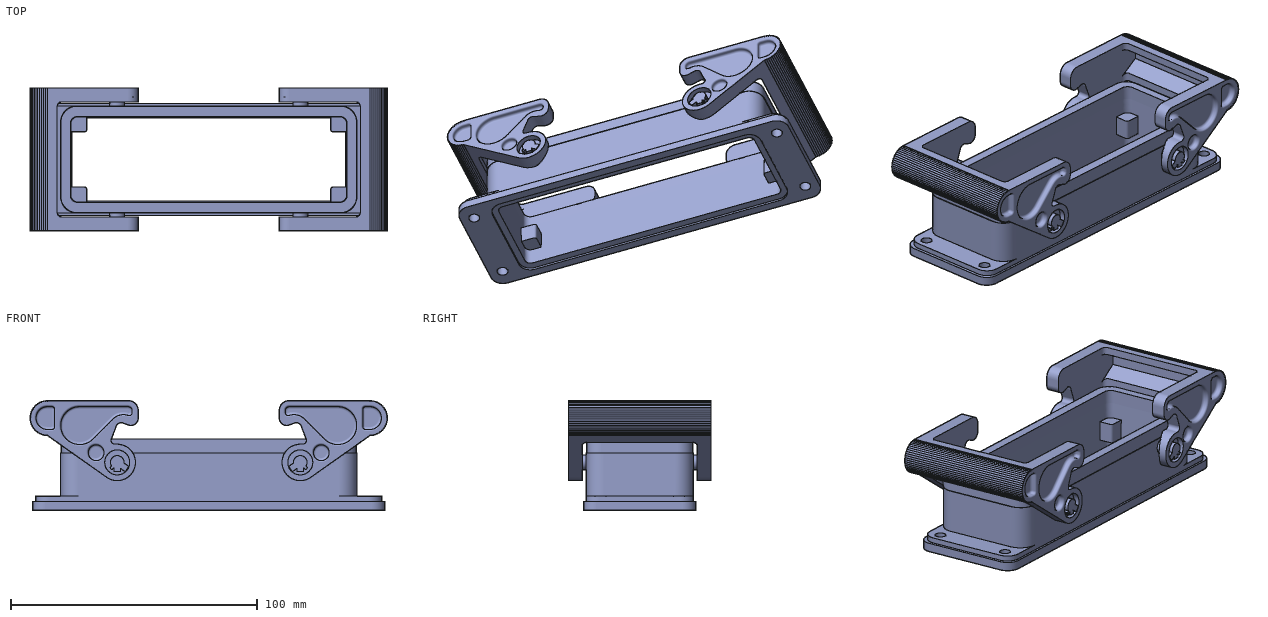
import cadquery as cq
import math

flange_length, flange_width = 143.0, 45.5
flange_height, flange_corner = 3.6, 5.2
step_length = 140.5
step_top = 5.8
body_length, body_width, body_corner = 120.5, 43.5, 7.1
body_top = 23.4
collar_length, collar_width, collar_corner = 119.9, 43.1, 6.0
housing_height = 29.0

cavity_length, cavity_width, cavity_corner = 112.3, 34.8, 2.9
cavity_draft = 0.6

underside_recess_margin = 2.2
underside_recess_depth = 1.0

pad_reach_x, pad_reach_y = 6.7, 6.2
pad_bottom, pad_top = 9.1, 17.1
pad_corner = 1.0

screw_hole_diameter = 4.4
screw_pitch_x, screw_pitch_y = 131.8, 31.9

latch_end, latch_width, latch_top = -72.5, 58.0, 44.5
bar_radius = 7.1
bar_x = latch_end + bar_radius
bar_z = latch_top - bar_radius
bar_inner_x = -61.5
arm_gap = 46.6
arm_gap_corner = 1.9

pivot_x, pivot_z = -37.1, 19.5
pivot_radius = 7.4
hook_end, hook_corner = -28.6, 4.0
hook_radius = 3.0
hook_x, hook_z = hook_end - hook_radius, 37.5
hook_tip_angle = -100

notch_roof_start, notch_roof_middle, notch_roof_end = (-34.5, 35.3), (-36.5, 35.3), (-37.7, 33.5)
notch_throat_start, notch_throat_middle = (-39.5, 29.0), (-39.3, 27.4)
notch_throat_end = (-38.0, pivot_z + pivot_radius)

rib_count = 25
rib_height = 0.22

recess_depth_x = 6.0
recess_bottom, recess_ceiling = 31.0, 41.5

pocket_depth = 2.5
pocket_rim_fillet = 0.7
pocket_floor_fillet = 1.0
grip_pocket_radius = 4.6
grip_pocket_right = -62.5
grip_pocket_corner = 1.2
bowl_x, bowl_z, bowl_radius = -52.4, 34.4, 7.7
shoulder_x, shoulder_radius = -34.5, 6.1
toe_x = -31.0
toe_corner = 1.7
toe_tip_inset = 0.6
shoulder_end_angle = 75
round_pocket_x, round_pocket_z, round_pocket_radius = -45.7, 23.4, 3.2

ramp_start_x = -35.7
ramp_depth = 2.5

pivot_recess_radius = 5.1
pin_radius, pin_embed = 3.0, 1.5
rivet_radius = 2.8
rivet_stem_width, rivet_stem_reach = 2.5, 3.8
rivet_tabs = [(2.6, 4.8, -34), (1.2, 3.6, 225)]


def rounded_block(length, width, bottom, top, corner):
    block = cq.Workplane("XY").workplane(offset=bottom).rect(length, width).extrude(top - bottom)
    return block.edges("|Z").fillet(corner)


def polar(x, z, radius, degrees):
    angle = math.radians(degrees)
    return (x + radius * math.cos(angle), z + radius * math.sin(angle))


def build_housing():
    housing = rounded_block(flange_length, flange_width, 0, flange_height, flange_corner)
    housing = housing.union(rounded_block(step_length, body_width, flange_height, step_top, flange_corner))
    housing = housing.union(rounded_block(body_length, body_width, step_top, body_top, body_corner))
    housing = housing.union(
        rounded_block(collar_length, collar_width, body_top, housing_height, collar_corner)
    )

    housing = housing.cut(
        rounded_block(cavity_length, cavity_width, body_top, housing_height, cavity_corner)
    )
    draft_angle = math.degrees(math.atan(cavity_draft / body_top))
    cavity = (
        cq.Workplane("XY", origin=(0, 0, body_top))
        .sketch().rect(cavity_length, cavity_width).vertices().fillet(cavity_corner).finalize()
        .extrude(-body_top, taper=draft_angle)
    )
    housing = housing.cut(cavity)

    housing = housing.cut(
        rounded_block(
            cavity_length + 2 * underside_recess_margin,
            cavity_width + 2 * underside_recess_margin,
            0, underside_recess_depth, cavity_corner + underside_recess_margin,
        )
    )

    body_envelope = rounded_block(body_length, body_width, 0, body_top, body_corner)
    for side_x in (-1, 1):
        for side_y in (-1, 1):
            pad = (
                cq.Workplane("XY", origin=(0, 0, pad_bottom))
                .center(side_x * cavity_length / 2, side_y * cavity_width / 2)
                .rect(2 * pad_reach_x, 2 * pad_reach_y)
                .extrude(pad_top - pad_bottom)
                .edges("|Z").fillet(pad_corner)
            )
            housing = housing.union(pad.intersect(body_envelope))

    screw_holes = (
        cq.Workplane("XY")
        .rect(screw_pitch_x, screw_pitch_y, forConstruction=True).vertices()
        .circle(screw_hole_diameter / 2).extrude(step_top)
    )
    return housing.cut(screw_holes)


def latch_profile():
    bar_bottom = (bar_x, bar_z - bar_radius)
    to_start = (bar_bottom[0] - pivot_x, bar_bottom[1] - pivot_z)
    start_angle = math.degrees(math.atan2(to_start[1], to_start[0]))
    tangent_angle = start_angle + math.degrees(math.acos(pivot_radius / math.hypot(*to_start)))

    hook_tip = polar(hook_x, hook_z, hook_radius, hook_tip_angle)

    profile = (
        cq.Workplane("XZ", origin=(0, latch_width / 2, 0))
        .moveTo(bar_x, latch_top)
        .lineTo(hook_end - hook_corner, latch_top)
        .radiusArc((hook_end, latch_top - hook_corner), hook_corner)
        .lineTo(hook_end, hook_z)
        .threePointArc(polar(hook_x, hook_z, hook_radius, -45), hook_tip)
        .lineTo(*notch_roof_start)
        .threePointArc(notch_roof_middle, notch_roof_end)
        .lineTo(*notch_throat_start)
        .threePointArc(notch_throat_middle, notch_throat_end)
        .lineTo(pivot_x, pivot_z + pivot_radius)
        .threePointArc(
            polar(pivot_x, pivot_z, pivot_radius, 0),
            polar(pivot_x, pivot_z, pivot_radius, tangent_angle),
        )
        .lineTo(*bar_bottom)
    )
    pitch = 180 / rib_count
    valley_radius = bar_radius - rib_height
    profile = profile.lineTo(bar_x, bar_z - valley_radius)
    for index in range(rib_count):
        valley_angle = 270 - (index + 1) * pitch
        profile = profile.threePointArc(
            polar(bar_x, bar_z, bar_radius, valley_angle + pitch / 2),
            polar(bar_x, bar_z, valley_radius, valley_angle),
        )
    return profile.close()


def grip_pocket():
    flat_x = grip_pocket_right - grip_pocket_corner
    top, bottom = bar_z + grip_pocket_radius, bar_z - grip_pocket_radius
    return (
        cq.Workplane("XZ")
        .moveTo(bar_x, bottom)
        .threePointArc((bar_x - grip_pocket_radius, bar_z), (bar_x, top))
        .lineTo(flat_x, top)
        .radiusArc((grip_pocket_right, top - grip_pocket_corner), grip_pocket_corner)
        .lineTo(grip_pocket_right, bottom + grip_pocket_corner)
        .radiusArc((flat_x, bottom), grip_pocket_corner)
        .close()
    )


def main_pocket():
    top = bowl_z + bowl_radius
    shoulder_z = bowl_z + shoulder_x - bowl_x - (bowl_radius + shoulder_radius) * math.sqrt(2)
    toe_start = polar(shoulder_x, shoulder_z, shoulder_radius, shoulder_end_angle)
    return (
        cq.Workplane("XZ")
        .moveTo(bowl_x, top)
        .lineTo(toe_x - toe_corner, top)
        .radiusArc((toe_x, top - toe_corner), toe_corner)
        .lineTo(toe_x, toe_start[1] + toe_corner / 2)
        .threePointArc((toe_x - toe_tip_inset, toe_start[1]), toe_start)
        .threePointArc(
            polar(shoulder_x, shoulder_z, shoulder_radius, (shoulder_end_angle + 135) / 2),
            polar(shoulder_x, shoulder_z, shoulder_radius, 135),
        )
        .lineTo(*polar(bowl_x, bowl_z, bowl_radius, -45))
        .threePointArc((bowl_x - bowl_radius, bowl_z), (bowl_x, top))
        .close()
    )


def round_pocket():
    return cq.Workplane("XZ").center(round_pocket_x, round_pocket_z).circle(round_pocket_radius)


def on_both_arms(front_shape):
    return front_shape.union(front_shape.mirror("XZ"))


def build_latch():
    latch = latch_profile().extrude(latch_width)

    opening_length = latch_width
    opening = (
        cq.Workplane("XY")
        .center(bar_inner_x + opening_length / 2, 0)
        .rect(opening_length, arm_gap).extrude(latch_top)
        .edges("|Z and <X").fillet(arm_gap_corner)
    )
    latch = latch.cut(opening)

    underside_slope = (bar_z - bar_radius - pivot_z + pivot_radius) / (pivot_x - bar_x)
    recess_back = bar_inner_x - recess_depth_x
    front_x = bar_inner_x + arm_gap_corner
    recess = (
        cq.Workplane("XZ", origin=(0, arm_gap / 2, 0))
        .polyline([
            (front_x, recess_bottom - arm_gap_corner * underside_slope),
            (recess_back, recess_bottom + recess_depth_x * underside_slope),
            (recess_back, recess_ceiling),
            (front_x, recess_ceiling),
        ])
        .close().extrude(arm_gap)
    )
    latch = latch.cut(recess)

    outer_y = -latch_width / 2
    for outline in (grip_pocket(), main_pocket(), round_pocket()):
        tool = outline.extrude(pocket_depth).faces("<Y").edges().fillet(pocket_floor_fillet)
        tool = tool.mirror("XZ").translate((0, outer_y, 0))
        latch = latch.cut(on_both_arms(tool))
    for side in ("<Y", ">Y"):
        rims = [edge for wire in latch.faces(side).val().innerWires() for edge in wire.Edges()]
        latch = latch.newObject(rims).fillet(pocket_rim_fillet)

    head_plane = cq.Workplane("XZ", origin=(pivot_x, outer_y + pocket_depth, pivot_z))
    pivot_recess = head_plane.circle(pivot_recess_radius).extrude(pocket_depth)
    stem = head_plane.center(0, -rivet_stem_reach / 2)
    rivet = head_plane.circle(rivet_radius).extrude(pocket_depth)
    rivet = rivet.union(stem.rect(rivet_stem_width, rivet_stem_reach).extrude(pocket_depth))
    for tab_width, tab_reach, tab_angle in rivet_tabs:
        tab = head_plane.transformed(rotate=(0, 0, tab_angle)).center(tab_reach / 2, 0)
        rivet = rivet.union(tab.rect(tab_reach, tab_width).extrude(pocket_depth))
    latch = latch.cut(on_both_arms(pivot_recess.cut(rivet)))

    ramp = (
        cq.Workplane("XY", origin=(0, 0, pivot_z - pivot_radius))
        .polyline([
            (ramp_start_x, -arm_gap / 2),
            (pivot_x + pivot_radius, -arm_gap / 2 - ramp_depth),
            (pivot_x + pivot_radius, -arm_gap / 2),
        ])
        .close().extrude(2 * pivot_radius)
    )
    latch = latch.cut(on_both_arms(ramp))

    pin_outer_y = arm_gap / 2 + pin_embed
    pin_inner_y = collar_width / 2 - pin_embed
    pin = (
        cq.Workplane("XZ", origin=(pivot_x, -pin_inner_y, pivot_z))
        .circle(pin_radius).extrude(pin_outer_y - pin_inner_y)
    )
    return latch.union(on_both_arms(pin))


latch = build_latch()
result = build_housing().union(latch).union(latch.mirror("YZ"))